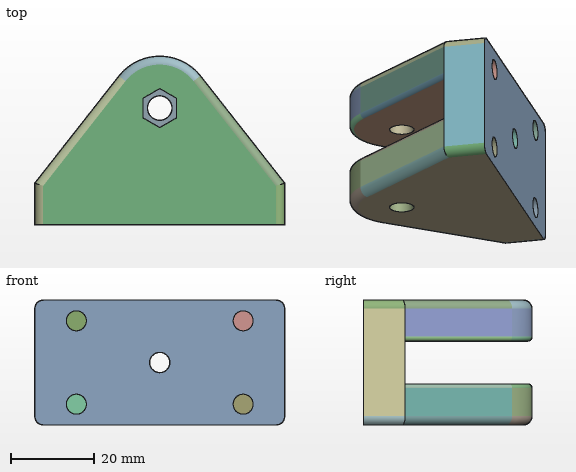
import cadquery as cq
import math

width = 60.0
height = width / 2
base_depth = 10.0

pin_y = 28.0
nose_radius = 12.5

slot_height = 10.2
outer_fillet = 2.1
inner_fillet = 1.1

pin_diameter = 5.8
nut_across_flats = 8.1
nut_depth = 4.2

mount_diameter = 4.8
mount_spacing_x = 40.0
mount_spacing_z = mount_spacing_x / 2
mount_depth = base_depth

margin = 0.3


def nose_tangent_point():
    """Point where the straight flank from the right base corner meets the nose arc."""
    dx = width / 2
    dy = base_depth - pin_y
    corner_angle = math.atan2(dy, dx)
    tangent_angle = corner_angle + math.acos(nose_radius / math.hypot(dx, dy))
    return (
        nose_radius * math.cos(tangent_angle),
        pin_y + nose_radius * math.sin(tangent_angle),
    )


def make_body():
    """Full-height block with the outline in XY and rounded top and bottom rims."""
    tangent_x, tangent_y = nose_tangent_point()
    body = (
        cq.Workplane("XY", origin=(0, 0, -height / 2))
        .moveTo(-width / 2, 0)
        .lineTo(width / 2, 0)
        .lineTo(width / 2, base_depth)
        .lineTo(tangent_x, tangent_y)
        .threePointArc((0, pin_y + nose_radius), (-tangent_x, tangent_y))
        .lineTo(-width / 2, base_depth)
        .close()
        .extrude(height)
    )
    base_face_edges = cq.selectors.BoxSelector(
        (-width, -margin, -height), (width, margin, height)
    )
    rims = body.faces("<Z or >Z").edges()
    rounded_rims = rims.edges(cq.selectors.InverseSelector(base_face_edges))
    return rounded_rims.fillet(outer_fillet)


def cut_slot(body):
    """Open the slot behind the base and round the inner rims of both arms."""
    arm_length = pin_y + nose_radius - base_depth
    slot = cq.Workplane("XY", origin=(0, base_depth, 0)).box(
        width, arm_length, slot_height, centered=(True, False, True)
    )
    body = body.cut(slot)
    rim_zone = cq.selectors.BoxSelector(
        (-width, base_depth + margin, -slot_height / 2 - margin),
        (width, base_depth + arm_length, slot_height / 2 + margin),
    )
    return body.edges(rim_zone).fillet(inner_fillet)


def cut_pin_and_nut(body):
    """Bore the pin hole through both arms and sink the nut pocket from the top."""
    corner_diameter = nut_across_flats / math.cos(math.pi / 6)
    pin = (
        cq.Workplane("XY", origin=(0, pin_y, -height / 2))
        .circle(pin_diameter / 2)
        .extrude(height)
    )
    nut = (
        cq.Workplane("XY", origin=(0, pin_y, height / 2 - nut_depth))
        .transformed(rotate=(0, 0, 90))
        .polygon(6, corner_diameter)
        .extrude(nut_depth)
    )
    return body.cut(pin).cut(nut)


def cut_mount_holes(body):
    """Four blind holes into the base face and one central hole into the slot."""
    face = cq.Workplane("XZ")
    blind = (
        face.rarray(mount_spacing_x, mount_spacing_z, 2, 2)
        .circle(mount_diameter / 2)
        .extrude(-mount_depth)
    )
    through = face.circle(mount_diameter / 2).extrude(-base_depth)
    return body.cut(blind).cut(through)


result = cut_mount_holes(cut_pin_and_nut(cut_slot(make_body())))